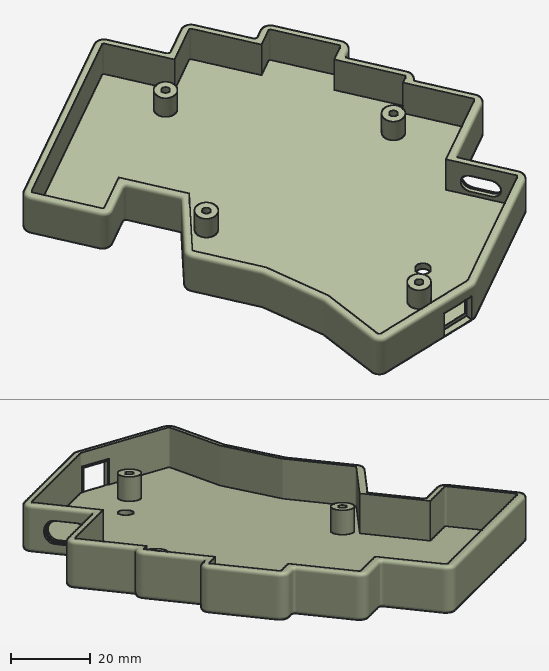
import math

import cadquery as cq

case_height = 12.6
floor_thickness = 2.0
wall_thickness = 2.13
edge_round = 1.0
cavity_corner_radius = 0.55
notch_corner_radius = 0.75

column_pitch = 19.05
column_tops = [57.3, 69.3, 75.28, 69.9, 67.3, 44.1]
notch_x = 19.25
notch_top = 12.0
thumb_left_top = 37.9
thumb_left_bottom = 45.2
thumb_floor = -7.55
thumb_bend = 64.7
thumb_mid_length = 18.75
thumb_mid_angle = 15
thumb_end_angle = 30
thumb_tip_y = -21.97

post_diameter = 6
post_top = 8.5
screw_hole_diameter = 2.2
post_centers = [(19.05, 50.1), (76.1, 59.95), (42.6, 11.5), (101.55, 3.5)]

floor_hole_diameter = 4
floor_hole_center = (98.8, 14.95)

jack_slot_length = 10.7
jack_slot_height = 5.4
jack_slot_bottom = 3.3
jack_slot_shift = 0.3
jack_web_thickness = 1.1
jack_recess_margin = 0.4

port_width = 9.2
port_bottom = 0.8
port_top = 8.8
port_corner_gap = 0.6
port_depth = 1.9
port_margin = 0.4

cavity_width = column_pitch * len(column_tops)
mid_angle = math.radians(thumb_mid_angle)
end_angle = math.radians(thumb_end_angle)
bend_x = thumb_bend + thumb_mid_length * math.cos(mid_angle)
bend_y = thumb_floor - thumb_mid_length * math.sin(mid_angle)
tip_x = bend_x + (bend_y - thumb_tip_y) / math.tan(end_angle)
slant_top_y = thumb_tip_y + (cavity_width - tip_x) / math.tan(end_angle)


def cavity_corners():
    points = [(0, 0)]
    for column, top in enumerate(column_tops):
        points.append((column * column_pitch, top))
        points.append(((column + 1) * column_pitch, top))
    points += [
        (cavity_width, slant_top_y),
        (tip_x, thumb_tip_y),
        (bend_x, bend_y),
        (thumb_bend, thumb_floor),
        (thumb_left_bottom, thumb_floor),
        (thumb_left_top, notch_top),
        (notch_x, notch_top),
        (notch_x, 0),
    ]
    return points


def make_shell():
    core = (
        cq.Workplane("XY")
        .polyline(cavity_corners())
        .close()
        .offset2D(-cavity_corner_radius, "intersection")
    )
    core_wire = core.val()
    cavity_wire = core_wire.offset2D(cavity_corner_radius, "arc")[0]
    outer_reach = cavity_corner_radius + wall_thickness + notch_corner_radius
    swollen_wire = core_wire.offset2D(outer_reach, "arc")[0]
    outer_wire = swollen_wire.offset2D(-notch_corner_radius, "arc")[0]

    body = cq.Workplane("XY").add(outer_wire).toPending().extrude(case_height)
    body = body.faces("<Z or >Z").edges().fillet(edge_round)
    cavity = (
        cq.Workplane("XY")
        .add(cavity_wire)
        .toPending()
        .extrude(case_height)
        .translate((0, 0, floor_thickness))
    )
    return body.cut(cavity)


def make_posts():
    return (
        cq.Workplane("XY", origin=(0, 0, floor_thickness))
        .pushPoints(post_centers)
        .circle(post_diameter / 2)
        .circle(screw_hole_diameter / 2)
        .extrude(post_top - floor_thickness)
    )


def floor_hole():
    return (
        cq.Workplane("XY")
        .center(*floor_hole_center)
        .circle(floor_hole_diameter / 2)
        .extrude(floor_thickness)
    )


def jack_slot():
    center_x = cavity_width - column_pitch / 2 - jack_slot_shift
    center_z = jack_slot_bottom + jack_slot_height / 2
    inner_wall = cq.Workplane("XZ", origin=(center_x, column_tops[-1], center_z))
    slot = inner_wall.slot2D(jack_slot_length, jack_slot_height).extrude(-wall_thickness)
    recess = (
        inner_wall.workplane(offset=-jack_web_thickness)
        .slot2D(jack_slot_length + 2 * jack_recess_margin, jack_slot_height + 2 * jack_recess_margin)
        .extrude(jack_web_thickness - wall_thickness)
    )
    return slot.union(recess)


def port_box(inner_offset, width, bottom, top):
    wall_length = (cavity_width - tip_x) / math.sin(end_angle)
    port_center = wall_length - port_corner_gap - port_width / 2
    depth = 2 * wall_thickness
    return (
        cq.Workplane("XY")
        .box(depth, width, top - bottom, centered=(False, True, False))
        .translate((inner_offset, port_center, bottom))
        .rotate((0, 0, 0), (0, 0, 1), -thumb_end_angle)
        .translate((tip_x, thumb_tip_y, 0))
    )


def connector_port():
    recess = port_box(wall_thickness - port_depth, port_width, port_bottom, port_top)
    opening_width = port_width - 2 * port_margin
    opening = port_box(0, opening_width, floor_thickness, port_top - port_margin)
    return recess.union(opening)


result = (
    make_shell()
    .union(make_posts())
    .cut(floor_hole())
    .cut(jack_slot())
    .cut(connector_port())
)